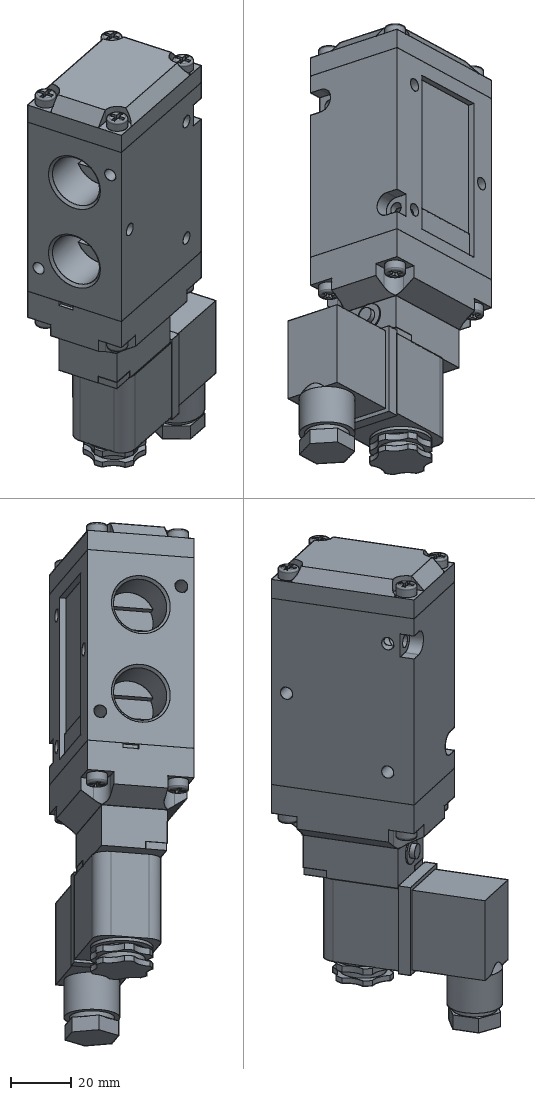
import cadquery as cq
import math


width = 36.5
depth = 51.0
body_bottom = 82.1
body_top = 148.5
half_width = width / 2

port_heights = [99.9, 130.7]
port_radius = 9.1
port_chamfer = 1.0
port_depth = 16.0
port_slot_height = 7.7
port_slot_depth = 3.2

mount_hole_diameter = 4.3
mount_x = 13.9
mount_heights = [92.5, 138.2]
nut_slot_width = 8.1
nut_slot_depth = 5.0
rear_cross_hole_y = 41.5
front_cross_hole_y = 5.5

label_front = 9.6
label_rear = 37.5
label_bottom = 87.0
label_split = 95.9
label_top = 143.2
label_depth = 2.2
label_lower_depth = 1.8

upper_rim = 155.2
total_height = 159.8
upper_inset_x = 3.8
upper_inset_y = 4.5

lower_pocket_floor = 71.9
lower_rim = 67.6
lower_bottom = 62.8
lower_inset_x = 7.0
lower_inset_y = 8.3

screw_edge_y = 4.5
pocket_radius = 4.6
head_radius = 3.5
head_height = 3.5
head_rounding = 0.8
cross_width = 1.1
cross_length = 5.1
cross_depth = 1.6

vent_left = -6.0
vent_width = 5.5
vent_height = 1.6
vent_depth = 1.3

block_width = 22.5
block_front = 8.6
block_rear = 42.5
block_bottom = 48.7

clip_length_x = 7.4
clip_length_y = 8.3
clip_height = 2.5
clip_relief = 0.2

button_height = 58.2
button_radius = 2.5
button_projection = 2.4
button_seat_radius = 4.6
button_seat_thickness = 0.5

coil_width = 23.3
coil_front = 14.4
coil_rear = 42.8
coil_bottom = 19.5
coil_corner_radius = 5.1

nut_y = 25.5
nut_radius = 10.4
nut_core_radius = 7.8
washer_bottom = 18.4
nut_plates = [(15.3, 17.5), (11.3, 13.3)]
scallop_count = 6
scallop_radius = 7.2
scallop_floor = 8.6

flange_width = 23.7
flange_rear = 47.1
flange_bottom = 18.5
flange_top = 49.9
housing_width = 20.8
housing_rear = 73.2
housing_bottom = 20.0
housing_top = 48.4
gland_radius = 9.3
gland_y = 65.4
gland_bottom = 7.0
gland_cone_height = 2.5
gland_cone_top_radius = 7.8
gland_groove_radius = 7.5
hex_top = 5.1


def block(x_range, y_range, z_range):
    """Box between the given limits."""
    return cq.Workplane("XY").box(
        x_range[1] - x_range[0], y_range[1] - y_range[0], z_range[1] - z_range[0], centered=False
    ).translate((x_range[0], y_range[0], z_range[0]))


def centered_block(x_size, y_range, z_range):
    """Box that is symmetrical about X = 0."""
    return block((-x_size / 2, x_size / 2), y_range, z_range)


def upright_cylinder(x, y, radius, z_range):
    return cq.Workplane("XY", origin=(x, y, z_range[0])).circle(radius).extrude(z_range[1] - z_range[0])


def cylinder_along_y(x, z, radius, y_range):
    """Cylinder from y_range[0] to y_range[1]; the normal of the XZ plane points to -Y."""
    return cq.Workplane("XZ", origin=(x, y_range[0], z)).circle(radius).extrude(y_range[0] - y_range[1])


def make_port(z):
    """Blind port with a chamfered mouth and a slot across its floor."""
    bore = cylinder_along_y(0, z, port_radius, (0, port_depth))
    mouth = cq.Workplane(cq.Solid.makeCone(
        port_radius + port_chamfer, port_radius, port_chamfer, cq.Vector(0, 0, z), cq.Vector(0, 1, 0)
    ))
    slot_bottom = z - port_slot_height / 2
    slot = cylinder_along_y(0, z, port_radius, (0, port_depth + port_slot_depth)).intersect(
        centered_block(width, (0, depth), (slot_bottom, slot_bottom + port_slot_height))
    )
    return bore.union(mouth).union(slot)


def make_mount_hole(side, z):
    """Hole through the body along Y, ending at the rear in a round-bottomed slot open to the side."""
    x = side * mount_x
    hole = cylinder_along_y(x, z, mount_hole_diameter / 2, (0, depth))
    slot_front = depth - nut_slot_depth
    slot_end = cylinder_along_y(x, z, nut_slot_width / 2, (slot_front, depth))
    slot_opening = block(
        sorted([x, side * half_width]),
        (slot_front, depth),
        (z - nut_slot_width / 2, z + nut_slot_width / 2),
    )
    return hole.union(slot_end).union(slot_opening)


def make_cross_holes():
    """Three holes through the body along X."""
    low, high = mount_heights
    places = [
        (rear_cross_hole_y, low),
        (rear_cross_hole_y, high),
        (front_cross_hole_y, (low + high) / 2),
    ]
    return (
        cq.Workplane("YZ", origin=(-half_width, 0, 0))
        .pushPoints(places)
        .circle(mount_hole_diameter / 2)
        .extrude(width)
    )


def make_label_recess():
    """Shallow label recess in the -X side, a little shallower below the split line."""
    label_y = (label_front, label_rear)
    upper = block((-half_width, label_depth - half_width), label_y, (label_split, label_top))
    lower = block((-half_width, label_lower_depth - half_width), label_y, (label_bottom, label_split))
    return upper.union(lower)


def make_valve_body():
    body = centered_block(width, (0, depth), (body_bottom, body_top))
    for z in port_heights:
        body = body.cut(make_port(z))
    for side, z in zip((-1, 1), mount_heights):
        body = body.cut(make_mount_hole(side, z))
    return body.cut(make_cross_holes()).cut(make_label_recess())


def tapered_block(base, rim, end, inset_x, inset_y):
    """Block from base to rim whose four sides then slope inwards to the flat end face."""
    straight = centered_block(width, (0, depth), sorted([base, rim]))
    sloped = (
        cq.Workplane("XY", origin=(0, depth / 2, rim))
        .rect(width, depth)
        .workplane(offset=end - rim)
        .rect(width - 2 * inset_x, depth - 2 * inset_y)
        .loft(ruled=True)
    )
    return straight.union(sloped)


def corner_frames():
    """Screw centre of each corner with the outward X and Y directions."""
    return [
        (side * mount_x, depth - screw_edge_y if outward > 0 else screw_edge_y, side, outward)
        for side in (-1, 1)
        for outward in (-1, 1)
    ]


def make_pocket(x, y, outward, z_range):
    """Screw pocket, round towards the middle and open to the front or rear face."""
    open_edge = depth if outward > 0 else 0
    opening = block((x - pocket_radius, x + pocket_radius), sorted([y, open_edge]), z_range)
    return upright_cylinder(x, y, pocket_radius, z_range).union(opening)


def make_side_opening(x, y, side, outward, z_range):
    """Opens a pocket to the side face as well."""
    open_edge = depth if outward > 0 else 0
    return block(
        sorted([x, side * half_width]),
        sorted([y - outward * pocket_radius, open_edge]),
        z_range,
    )


def make_screw_head():
    """Round-edged head with a cross recess, standing on Z = 0."""
    head = cq.Workplane("XY").circle(head_radius).extrude(head_height)
    head = head.faces(">Z").edges().fillet(head_rounding)
    cross = (
        cq.Workplane("XY", origin=(0, 0, head_height - cross_depth))
        .rect(cross_length, cross_width)
        .extrude(cross_depth)
    )
    return head.cut(cross).cut(cross.rotate((0, 0, 0), (0, 0, 1), 90))


def make_top_cover():
    cover = tapered_block(body_top, upper_rim, total_height, upper_inset_x, upper_inset_y)
    head = make_screw_head()
    for x, y, _, outward in corner_frames():
        cover = cover.cut(make_pocket(x, y, outward, (upper_rim, total_height)))
        cover = cover.union(head.translate((x, y, upper_rim)))
    return cover


def make_bottom_cover():
    cover = tapered_block(body_bottom, lower_rim, lower_bottom, lower_inset_x, lower_inset_y)
    head = make_screw_head().rotate((0, 0, 0), (1, 0, 0), 180)
    pocket_z = (lower_bottom, lower_pocket_floor)
    for x, y, side, outward in corner_frames():
        cover = cover.cut(make_pocket(x, y, outward, pocket_z))
        cover = cover.cut(make_side_opening(x, y, side, outward, pocket_z))
        cover = cover.union(head.translate((x, y, lower_pocket_floor)))
    vent = block(
        (vent_left, vent_left + vent_width), (0, vent_depth), (body_bottom - vent_height, body_bottom)
    )
    return cover.cut(vent)


def make_pilot_block():
    pilot = centered_block(block_width, (block_front, block_rear), (block_bottom, lower_bottom))
    return pilot.cut(make_clip_relief(1)).cut(make_clip_relief(-1)).union(make_button())


def make_clip_relief(side):
    """Thin relief around a lower corner: front corner on the +X side, rear corner on the -X side."""
    corner_x = side * block_width / 2
    corner_y = block_front if side > 0 else block_rear
    clip_z = (block_bottom, block_bottom + clip_height)
    end_x = corner_x - side * clip_length_x
    end_y = corner_y + side * clip_length_y
    across = block(sorted([corner_x, end_x]), sorted([corner_y, corner_y + side * clip_relief]), clip_z)
    along = block(sorted([corner_x, corner_x - side * clip_relief]), sorted([corner_y, end_y]), clip_z)
    return across.union(along)


def make_button():
    """Manual override button on a round seat at the rear of the block."""
    seat_rear = block_rear + button_seat_thickness
    button_rear = block_rear + button_projection
    seat = cylinder_along_y(0, button_height, button_seat_radius, (block_rear, seat_rear))
    button = cylinder_along_y(0, button_height, button_radius, (block_rear, button_rear))
    return seat.union(button)


def make_coil():
    coil = centered_block(coil_width, (coil_front, coil_rear), (coil_bottom, block_bottom))
    return coil.edges("|Z and <Y").fillet(coil_corner_radius)


def make_nut():
    """Washer and two scalloped plates around a round core below the coil."""
    core = upright_cylinder(0, nut_y, nut_core_radius, (nut_plates[-1][0], coil_bottom))
    nut = core.union(upright_cylinder(0, nut_y, nut_radius, (washer_bottom, coil_bottom)))
    scallop_distance = scallop_floor + scallop_radius
    for plate_z in nut_plates:
        plate = upright_cylinder(0, nut_y, nut_radius, plate_z)
        for index in range(scallop_count):
            angle = 2 * math.pi * index / scallop_count
            x = scallop_distance * math.cos(angle)
            y = nut_y + scallop_distance * math.sin(angle)
            plate = plate.cut(upright_cylinder(x, y, scallop_radius, plate_z))
        nut = nut.union(plate)
    return nut


def make_pilot_valve():
    return make_pilot_block().union(make_coil()).union(make_nut())


def make_gland():
    """Cable gland: round sleeve with a conical shoulder, a groove and a hexagon at the bottom."""
    sleeve = upright_cylinder(0, gland_y, gland_radius, (gland_bottom, housing_bottom))
    shoulder = cq.Workplane(cq.Solid.makeCone(
        gland_radius, gland_cone_top_radius, gland_cone_height, cq.Vector(0, gland_y, housing_bottom)
    ))
    groove = upright_cylinder(0, gland_y, gland_groove_radius, (hex_top, gland_bottom))
    hexagon = (
        cq.Workplane("XY")
        .polygon(6, 2 * gland_radius)
        .extrude(hex_top)
        .rotate((0, 0, 0), (0, 0, 1), 90)
        .translate((0, gland_y, 0))
    )
    return sleeve.union(shoulder).union(groove).union(hexagon)


def make_connector():
    flange = centered_block(flange_width, (coil_rear, flange_rear), (flange_bottom, flange_top))
    housing = centered_block(housing_width, (flange_rear, housing_rear), (housing_bottom, housing_top))
    return flange.union(housing).union(make_gland())


valve_body = make_valve_body()
top_cover = make_top_cover()
bottom_cover = make_bottom_cover()
pilot_valve = make_pilot_valve()
connector = make_connector()

result = cq.Compound.makeCompound([
    valve_body.val(),
    top_cover.val(),
    bottom_cover.val(),
    pilot_valve.val(),
    connector.val(),
])